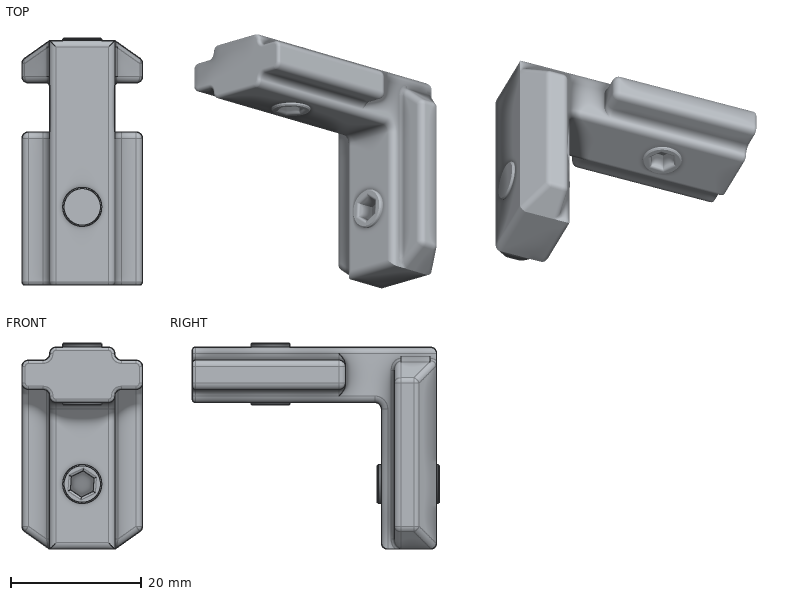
import cadquery as cq
import math

STEM_WIDTH = 10.0
THICKNESS = 8.5
ARM_LENGTH = 37.5
LEG_HEIGHT = 31.0
WING_SPAN = 18.5
EDGE_RADIUS = 1.0
SMALL_RADIUS = 0.5

ARM_WING_INSET = 2.0
ARM_WING_LENGTH = 23.5

LEG_WING_DEPTH = 6.5
LEG_WING_TOP = -2.0
BEVEL_DROP = 3.0

SCREW_DIAMETER = 6.0
LONG_STEP = 0.64
SHORT_STEP = 0.4
SCREW_CHAMFER = 0.2
SOCKET_FLATS = 3.5
SOCKET_DEPTH = 3.0
SOCKET_LIP_RADIUS = 0.36
SOCKET_TURN = -4.0
ARM_SCREW_Y = -25.5
LEG_SCREW_Z = -21.0

MARGIN = 0.01

half_stem = STEM_WIDTH / 2
half_span = WING_SPAN / 2
screw_length = THICKNESS + LONG_STEP + SHORT_STEP


def mirrored(points):
    """Complete a right-hand chain of points with its mirror image."""
    return points + [(-u, v) for u, v in reversed(points)]


def round_edges_near(body, points, radius):
    """Round the edge nearest to each of the given points."""
    edges = [body.edges(cq.NearestToPointSelector(point)).val() for point in points]
    return body.newObject(edges).fillet(radius)


def make_stem():
    """Sharp L-shaped bar; its arm stops inside the winged arm section."""
    overlap_end = -ARM_LENGTH + ARM_WING_LENGTH / 2
    outline = [
        (0, 0),
        (overlap_end, 0),
        (overlap_end, -THICKNESS),
        (-THICKNESS, -THICKNESS),
        (-THICKNESS, -LEG_HEIGHT),
        (0, -LEG_HEIGHT),
    ]
    bar = cq.Workplane("YZ").polyline(outline).close().extrude(half_stem, both=True)
    return round_edges_near(bar, [(0, -THICKNESS, -THICKNESS)], EDGE_RADIUS)


def make_leg_wings():
    """Sharp block spanning both leg wings, where its front and plan outlines cross."""
    front_outline = [
        (half_stem, LEG_WING_TOP),
        (half_span, LEG_WING_TOP - BEVEL_DROP),
        (half_span, -LEG_HEIGHT + BEVEL_DROP),
        (half_stem, -LEG_HEIGHT),
    ]
    plan_outline = [
        (half_stem, 0),
        (half_span, -BEVEL_DROP),
        (half_span, -LEG_WING_DEPTH),
    ]
    block = cq.Workplane("XZ").polyline(mirrored(front_outline)).close().extrude(LEG_WING_DEPTH)
    plan = cq.Workplane("XY").polyline(mirrored(plan_outline)).close().extrude(-LEG_HEIGHT)
    return block.intersect(plan)


def round_leg_wings(body):
    """Round the wings' side and bevel edges, then their front rims, then their roots."""
    mid_z = (LEG_WING_TOP - LEG_HEIGHT) / 2
    outside = half_stem + MARGIN
    far_side = half_span + MARGIN
    wing_front = -LEG_WING_DEPTH

    def in_both_wings(y_min, y_max):
        right = cq.selectors.BoxSelector((outside, y_min, -LEG_HEIGHT), (far_side, y_max, LEG_WING_TOP))
        left = cq.selectors.BoxSelector((-far_side, y_min, -LEG_HEIGHT), (-outside, y_max, LEG_WING_TOP))
        return right + left

    body = body.edges(in_both_wings(wing_front + MARGIN, MARGIN)).fillet(EDGE_RADIUS)
    body = body.edges(in_both_wings(wing_front - MARGIN, wing_front + MARGIN)).fillet(EDGE_RADIUS)
    roots = [(x, wing_front, mid_z) for x in (-half_stem, half_stem)]
    return round_edges_near(body, roots, SMALL_RADIUS)


def round_stem(body):
    """Round the long edges of the bar, its outer corner and the foot of the leg."""
    mid_z = -LEG_HEIGHT / 2
    mid_y = -ARM_LENGTH / 3
    long_edges = []
    for x in (-half_stem, half_stem):
        long_edges += [(x, mid_y, 0), (x, -THICKNESS, (-THICKNESS - EDGE_RADIUS - LEG_HEIGHT) / 2)]
    crest = [(0, 0, 0)]
    foot_front = [(0, -THICKNESS, -LEG_HEIGHT)]
    foot_back = [(0, 0, -LEG_HEIGHT)]
    body = round_edges_near(body, long_edges + crest + foot_front, EDGE_RADIUS)
    return round_edges_near(body, foot_back, EDGE_RADIUS)


def make_top_cove(side):
    """Filler that widens the hollow above one leg wing to the larger edge radius."""
    bevel_run = half_span - half_stem
    bevel_length = math.hypot(bevel_run, BEVEL_DROP)
    down_bevel = (bevel_run / bevel_length, -BEVEL_DROP / bevel_length)
    out_of_bevel = (-down_bevel[1], down_bevel[0])
    centre_x = half_stem + EDGE_RADIUS
    tangent_length = (EDGE_RADIUS - EDGE_RADIUS * out_of_bevel[0]) / down_bevel[0]
    centre_z = LEG_WING_TOP + tangent_length
    bevel_angle = math.atan2(out_of_bevel[1], out_of_bevel[0])
    mid_angle = (math.pi + math.pi + bevel_angle) / 2

    def on_arc(angle):
        return (side * (centre_x + EDGE_RADIUS * math.cos(angle)), centre_z + EDGE_RADIUS * math.sin(angle))

    inner = (side * (half_stem - SMALL_RADIUS), LEG_WING_TOP - SMALL_RADIUS)
    front = -LEG_WING_DEPTH + EDGE_RADIUS
    return (
        cq.Workplane("XZ", origin=(0, -EDGE_RADIUS, 0))
        .moveTo(*on_arc(math.pi))
        .threePointArc(on_arc(mid_angle), on_arc(math.pi + bevel_angle))
        .lineTo(*inner)
        .close()
        .extrude(-EDGE_RADIUS - front)
    )


def make_arm_section():
    """Winged part of the arm: corners rounded and wings blended into the stem."""
    r = EDGE_RADIUS
    top = THICKNESS / 2
    wing_top = top - ARM_WING_INSET
    arc = r * math.sqrt(0.5)
    quarter = (
        cq.Workplane("XZ", origin=(0, -ARM_LENGTH + ARM_WING_LENGTH, -top))
        .moveTo(0, top)
        .lineTo(half_stem - r, top)
        .threePointArc((half_stem - r + arc, top - r + arc), (half_stem, top - r))
        .threePointArc((half_stem + r - arc, wing_top + r - arc), (half_stem + r, wing_top))
        .lineTo(half_span - r, wing_top)
        .threePointArc((half_span - r + arc, wing_top - r + arc), (half_span, wing_top - r))
        .lineTo(half_span, 0)
    )
    section = quarter.mirrorX().mirrorY().extrude(ARM_WING_LENGTH)
    section = section.faces("<Y").edges().fillet(SMALL_RADIUS)
    return section.faces(">Y").edges().fillet(EDGE_RADIUS)


def make_screw():
    """Set screw along Z from the origin, with a hexagon socket in its upper end."""
    screw = cq.Workplane("XY").circle(SCREW_DIAMETER / 2).extrude(screw_length)
    screw = screw.faces("<Z or >Z").edges().chamfer(SCREW_CHAMFER)
    corner_diameter = SOCKET_FLATS / math.cos(math.pi / 6)
    socket = (
        cq.Workplane("XY", origin=(0, 0, screw_length))
        .transformed(rotate=(0, 0, 90 + SOCKET_TURN))
        .polygon(6, corner_diameter)
        .extrude(-SOCKET_DEPTH)
    )
    screw = screw.cut(socket)
    return screw.faces(">Z").edges("%LINE").fillet(SOCKET_LIP_RADIUS)


def make_bracket():
    """The whole bracket with a plain through hole for each screw."""
    body = make_stem().union(make_leg_wings())
    body = round_stem(round_leg_wings(body))
    for side in (-1, 1):
        body = body.union(make_top_cove(side))
    body = body.union(make_arm_section())

    radius = SCREW_DIAMETER / 2
    arm_hole = cq.Workplane("XY", origin=(0, ARM_SCREW_Y, 0)).circle(radius).extrude(-THICKNESS)
    leg_hole = cq.Workplane("XZ", origin=(0, 0, LEG_SCREW_Z)).circle(radius).extrude(THICKNESS)
    return body.cut(arm_hole).cut(leg_hole)


bracket = make_bracket()
leg_screw = make_screw().rotate((0, 0, 0), (1, 0, 0), 90).translate((0, SHORT_STEP, LEG_SCREW_Z))
arm_screw = make_screw().rotate((0, 0, 0), (1, 0, 0), 180).translate((0, ARM_SCREW_Y, LONG_STEP))

result = cq.Compound.makeCompound([bracket.val(), leg_screw.val(), arm_screw.val()])